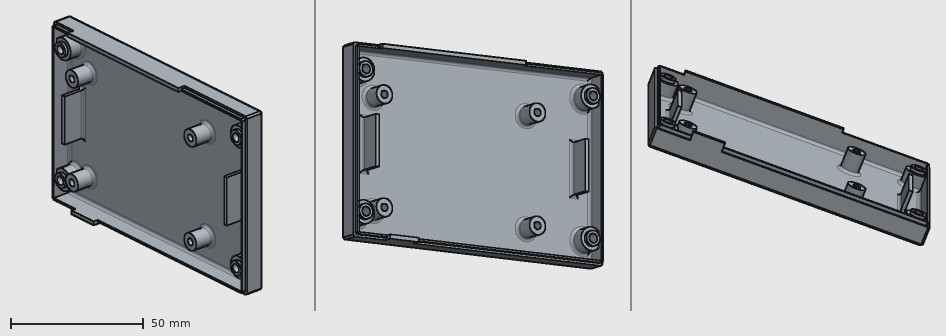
import cadquery as cq
import math


width = 110.8
height = 74.5
wall = 1.7
floor_thickness = 1.7
shoulder_depth = 8.0
lip_depth = 9.5
lip_step = 0.9
outer_chamfer = 0.8
root_fillet = 1.2

top_tab_left, top_tab_right, top_tab_depth = -44.2, 19.5, 11.0
bottom_tab_left, bottom_tab_right, bottom_tab_depth = -41.2, -28.5, 11.5

screw_x = 50.4
screw_z = 27.3
screw_boss_radius = 4.5
screw_boss_depth = 7.9
screw_tip_radius = 3.0
screw_tip_depth = 9.2
screw_hole_radius = 1.8

standoff_xs = (-42.8, 25.2)
standoff_zs = (-25.2, 18.2)
standoff_radius = 3.5
standoff_depth = 10.0
standoff_hole_radius = 1.4

rib_x = 46.5
rib_thickness = 1.5
rib_length = 20.1
rib_depth = 11.0

cavity_width = width - 2 * wall
cavity_height = height - 2 * wall


def slab(size_x, size_z, start, end, x=0.0, z=0.0):
    """Rectangular block between two depths."""
    return cq.Workplane("XZ", origin=(x, -start, z)).rect(size_x, size_z).extrude(end - start)


def disc(radius, start, end, x, z):
    """Round bar between two depths."""
    return cq.Workplane("XZ", origin=(x, -start, z)).circle(radius).extrude(end - start)


def shell():
    """Tray with a chamfered back, a stepped lip and a fillet around the floor."""
    body = slab(width, height, 0, shoulder_depth).edges("|Y").chamfer(outer_chamfer)
    body = body.faces(">Y").chamfer(outer_chamfer)
    lip = slab(width - 2 * lip_step, height - 2 * lip_step, 0, lip_depth)
    lip = lip.edges("|Y").chamfer(outer_chamfer)
    lip = lip.intersect(slab(width, height, floor_thickness, lip_depth))
    cavity = slab(cavity_width, cavity_height, floor_thickness, lip_depth)
    cavity = cavity.faces(">Y").fillet(root_fillet)
    return body.union(lip).cut(cavity)


def wall_tab(left, right, depth, side):
    """Full-thickness stretch of the top (side = 1) or bottom (side = -1) wall."""
    z = side * (height - wall) / 2
    return slab(right - left, wall, shoulder_depth, depth, (left + right) / 2, z)


def flared_half(plane, half_width, depth):
    """Half outline of a post or plate, with a hollow fillet where it meets the floor."""
    arc_reach = root_fillet * (1 - math.sqrt(0.5))
    return (
        cq.Workplane(plane)
        .moveTo(0, -floor_thickness)
        .lineTo(half_width + root_fillet, -floor_thickness)
        .threePointArc(
            (half_width + arc_reach, -floor_thickness - arc_reach),
            (half_width, -floor_thickness - root_fillet),
        )
        .lineTo(half_width, -depth)
        .lineTo(0, -depth)
        .close()
    )


def post(radius, depth, x, z):
    """Round post with a filleted root on the floor."""
    return flared_half("XY", radius, depth).revolve(360, (0, 0), (0, 1)).translate((x, 0, z))


def screw_boss(x, z):
    """Stepped boss, trimmed where it runs into the side wall."""
    boss = post(screw_boss_radius, screw_boss_depth, x, z)
    boss = boss.union(disc(screw_tip_radius, floor_thickness, screw_tip_depth, x, z))
    return boss.intersect(slab(cavity_width, cavity_height, floor_thickness, screw_tip_depth))


def rib(x):
    """Thin upright plate whose root fillets meet in mitred corners."""
    across = flared_half("XY", rib_thickness / 2, rib_depth).extrude(rib_length, both=True)
    along = flared_half("ZY", rib_length / 2, rib_depth).extrude(rib_length, both=True)
    across = across.union(across.mirror("YZ"))
    along = along.union(along.mirror("XY"))
    return across.intersect(along).translate((x, 0, 0))


screw_places = [(x, z) for x in (-screw_x, screw_x) for z in (-screw_z, screw_z)]
standoff_places = [(x, z) for x in standoff_xs for z in standoff_zs]

result = shell()
result = result.union(wall_tab(top_tab_left, top_tab_right, top_tab_depth, 1))
result = result.union(wall_tab(bottom_tab_left, bottom_tab_right, bottom_tab_depth, -1))

for x in (-rib_x, rib_x):
    result = result.union(rib(x))

for x, z in screw_places:
    result = result.union(screw_boss(x, z))

for x, z in standoff_places:
    result = result.union(post(standoff_radius, standoff_depth, x, z))

for x, z in screw_places:
    result = result.cut(disc(screw_hole_radius, 0, screw_tip_depth, x, z))

for x, z in standoff_places:
    result = result.cut(disc(standoff_hole_radius, floor_thickness, standoff_depth, x, z))